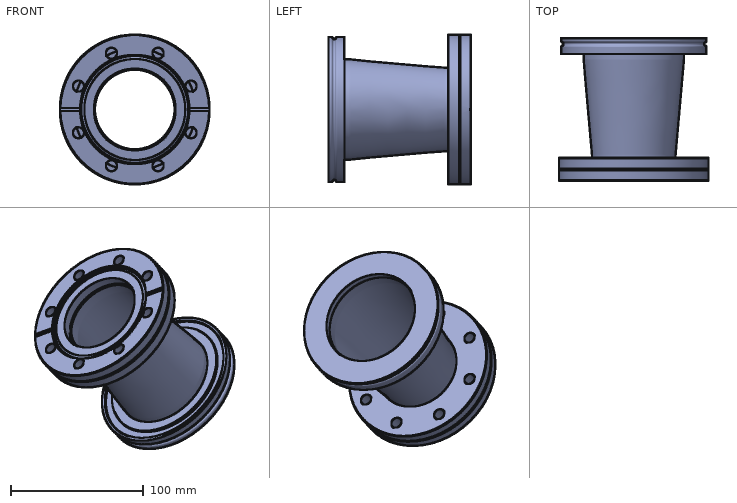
import cadquery as cq
import math

length = 107.9
socket_clearance = 0.17

bolted_dia = 113.5
bolted_thickness = 17.5
bolted_bore_dia = 62.0
socket_ledge = 9.6
rim_chamfer = 0.5
recess_dia = 82.5
recess_mouth_dia = 83.0
recess_depth = 1.8
knife_tip_dia = 76.5
knife_base_dia = 81.0
knife_tip_depth = 1.0
bolt_count = 8
bolt_hole_dia = 8.4
bolt_circle_dia = 92.2
rim_groove_start = 8.0
rim_groove_width = 1.4
rim_groove_depth = 0.1
leak_groove_width = 2.4
leak_groove_depth = 0.7

tube_small_dia = 63.5
tube_big_dia = 76.2
tube_wall = 1.65
cone_start = 19.4
cone_end = length - 16.3
cone_blend_radius = 10.2

clamp_dia = 110.0
clamp_thickness = 12.0
clamp_ledge = 6.0
clamp_bore_dia = tube_big_dia - 2 * tube_wall
claw_groove_outer_dia = 104.9
claw_groove_inner_dia = 92.2
claw_groove_depth = 1.9
rim_valley_from_back = 4.4
valley_radius = 1.2
valley_lip_radius = 1.5
valley_sweep = math.radians(67)


def revolve_y(profile):
    """Revolve an (x = radius, y) profile around the Y axis."""
    return profile.close().revolve(360, (0, 0, 0), (0, 1, 0))


def ring(outer_dia, inner_dia, start, width):
    """Plain ring along +Y."""
    return (
        cq.Workplane("XZ", origin=(0, start, 0))
        .circle(outer_dia / 2)
        .circle(inner_dia / 2)
        .extrude(-width)
    )


def make_flange_blank():
    """Bolted flange body with its bore, tube socket, recess and knife edge."""
    socket_radius = tube_small_dia / 2 + socket_clearance
    mouth_chamfer = (recess_mouth_dia - recess_dia) / 2
    rim_radius = bolted_dia / 2
    return revolve_y(
        cq.Workplane("XY")
        .moveTo(bolted_bore_dia / 2, knife_tip_depth)
        .lineTo(knife_tip_dia / 2, knife_tip_depth)
        .lineTo(knife_base_dia / 2, recess_depth)
        .lineTo(recess_dia / 2, recess_depth)
        .lineTo(recess_dia / 2, mouth_chamfer)
        .lineTo(recess_mouth_dia / 2, 0)
        .lineTo(rim_radius - rim_chamfer, 0)
        .lineTo(rim_radius, rim_chamfer)
        .lineTo(rim_radius, bolted_thickness - rim_chamfer)
        .lineTo(rim_radius - rim_chamfer, bolted_thickness)
        .lineTo(socket_radius, bolted_thickness)
        .lineTo(socket_radius, socket_ledge)
        .lineTo(bolted_bore_dia / 2, socket_ledge)
    )


def make_bolt_holes():
    return (
        cq.Workplane("XZ")
        .polarArray(bolt_circle_dia / 2, 180 / bolt_count, 360, bolt_count)
        .circle(bolt_hole_dia / 2)
        .extrude(-bolted_thickness)
    )


def make_leak_groove(side):
    """Round-bottomed radial groove from the recess to the rim; side is +1 or -1."""
    half_width = leak_groove_width / 2
    radius = (half_width**2 + leak_groove_depth**2) / (2 * leak_groove_depth)
    recess_radius = recess_dia / 2
    groove_length = bolted_dia / 2 - recess_radius
    return (
        cq.Workplane("YZ", origin=(side * recess_radius, leak_groove_depth - radius, 0))
        .circle(radius)
        .extrude(side * groove_length)
    )


def make_bolted_flange():
    rim_groove = ring(
        bolted_dia, bolted_dia - 2 * rim_groove_depth, rim_groove_start, rim_groove_width
    )
    flange = make_flange_blank().cut(make_bolt_holes()).cut(rim_groove)
    for side in (-1, 1):
        flange = flange.cut(make_leak_groove(side))
    return flange


def tapered_solid(inset):
    """Solid with the tube's outline, moved inward by inset and blended at both cone ends."""
    small_radius = tube_small_dia / 2 - inset
    big_radius = tube_big_dia / 2 - inset
    tube_end = length - clamp_ledge

    taper = math.atan2(big_radius - small_radius, cone_end - cone_start)
    tangent_length = cone_blend_radius * math.tan(taper / 2)
    blend_rise = cone_blend_radius * (1 - math.cos(taper))
    blend_run = cone_blend_radius * math.sin(taper)
    half_rise = cone_blend_radius * (1 - math.cos(taper / 2))
    half_run = cone_blend_radius * math.sin(taper / 2)
    small_blend = cone_start - tangent_length
    big_blend = cone_end + tangent_length
    return revolve_y(
        cq.Workplane("XY")
        .moveTo(0, socket_ledge)
        .lineTo(small_radius, socket_ledge)
        .lineTo(small_radius, small_blend)
        .threePointArc(
            (small_radius + half_rise, small_blend + half_run),
            (small_radius + blend_rise, small_blend + blend_run),
        )
        .lineTo(big_radius - blend_rise, big_blend - blend_run)
        .threePointArc((big_radius - half_rise, big_blend - half_run), (big_radius, big_blend))
        .lineTo(big_radius, tube_end)
        .lineTo(0, tube_end)
    )


def make_tube():
    return tapered_solid(0).cut(tapered_solid(tube_wall))


def make_clamp_flange():
    """Clamp flange with a smooth rim groove and a claw groove in its front face."""
    front = length - clamp_thickness
    ledge = length - clamp_ledge
    rim_radius = clamp_dia / 2
    socket_radius = tube_big_dia / 2 + socket_clearance
    valley_y = length - rim_valley_from_back

    bend_offset = valley_radius * math.sin(valley_sweep)
    lip_offset = bend_offset + valley_lip_radius * math.sin(valley_sweep)
    bend_radius = rim_radius - valley_lip_radius * (1 - math.cos(valley_sweep))
    bottom_radius = bend_radius - valley_radius * (1 - math.cos(valley_sweep))
    lip_mid_offset = lip_offset - valley_lip_radius * math.sin(valley_sweep / 2)
    lip_mid_radius = rim_radius - valley_lip_radius * (1 - math.cos(valley_sweep / 2))

    blank = revolve_y(
        cq.Workplane("XY")
        .moveTo(socket_radius, front)
        .lineTo(rim_radius, front)
        .lineTo(rim_radius, valley_y - lip_offset)
        .threePointArc((lip_mid_radius, valley_y - lip_mid_offset), (bend_radius, valley_y - bend_offset))
        .threePointArc((bottom_radius, valley_y), (bend_radius, valley_y + bend_offset))
        .threePointArc((lip_mid_radius, valley_y + lip_mid_offset), (rim_radius, valley_y + lip_offset))
        .lineTo(rim_radius, length)
        .lineTo(clamp_bore_dia / 2, length)
        .lineTo(clamp_bore_dia / 2, ledge)
        .lineTo(socket_radius, ledge)
    )
    claw_groove = ring(claw_groove_outer_dia, claw_groove_inner_dia, front, claw_groove_depth)
    return blank.cut(claw_groove)


bolted_flange = make_bolted_flange()
tube = make_tube()
clamp_flange = make_clamp_flange()

result = cq.Compound.makeCompound([bolted_flange.val(), tube.val(), clamp_flange.val()])